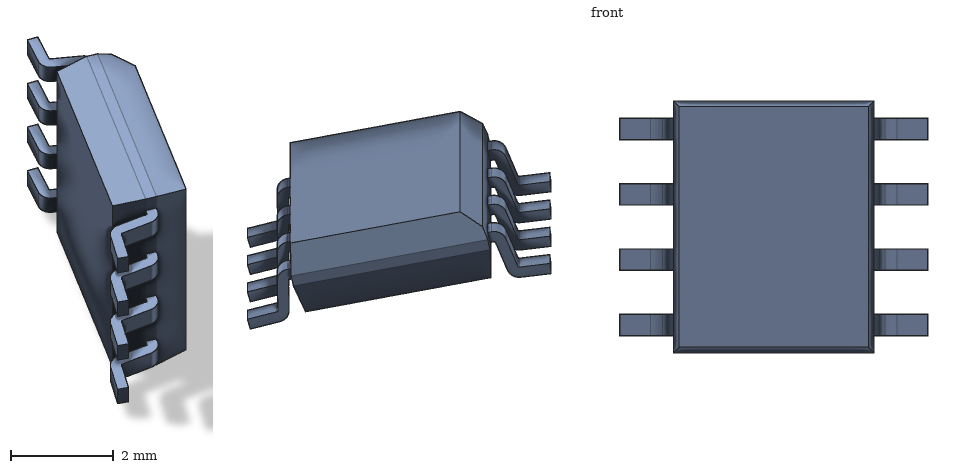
import cadquery as cq
import math


BODY_WIDTH = 3.9
BODY_LENGTH = 4.9
BODY_THICKNESS = 1.5
TOTAL_HEIGHT = 1.75
DRAFT_ANGLE = 10.0
PIN_ONE_CHAMFER = 0.37

LEAD_THICKNESS = 0.22
LEAD_WIDTH = 0.42
LEAD_PITCH = 1.27
LEADS_PER_SIDE = 4
LEAD_SPAN = 6.0
STUB_LENGTH = 0.075
OUTER_BEND = 0.25
INNER_BEND = OUTER_BEND - LEAD_THICKNESS
LEG_TILT = 10.0
FOOT_TILT = 4.0

BODY_BASE = TOTAL_HEIGHT - BODY_THICKNESS
BAND_CENTER = BODY_BASE + BODY_THICKNESS / 2
BAND_BOTTOM = BAND_CENTER - LEAD_THICKNESS / 2
BAND_TOP = BAND_CENTER + LEAD_THICKNESS / 2
DRAFT_DEPTH = (BODY_THICKNESS - LEAD_THICKNESS) / 2


def make_half(start_y, depth, draft):
    """Block from the plane Y = start_y, narrowing by the draft angle along its depth."""
    return (
        cq.Workplane("XZ", origin=(0, start_y, 0))
        .rect(BODY_WIDTH, BODY_LENGTH)
        .extrude(depth, taper=draft)
    )


def make_body():
    """Moulded body: straight middle band, two drafted halves and the pin-one bevel."""
    band = make_half(BAND_TOP, LEAD_THICKNESS, 0)
    lower_half = make_half(BAND_BOTTOM, DRAFT_DEPTH, DRAFT_ANGLE)
    upper_half = make_half(BAND_TOP, -DRAFT_DEPTH, DRAFT_ANGLE)

    bevel_y = TOTAL_HEIGHT - PIN_ONE_CHAMFER
    wall_inset = (bevel_y - BAND_TOP) * math.tan(math.radians(DRAFT_ANGLE))
    bevel_x = -BODY_WIDTH / 2 + wall_inset
    bevel = (
        cq.Workplane("XY")
        .moveTo(bevel_x - PIN_ONE_CHAMFER, bevel_y - PIN_ONE_CHAMFER)
        .lineTo(bevel_x + 2 * PIN_ONE_CHAMFER, TOTAL_HEIGHT + PIN_ONE_CHAMFER)
        .lineTo(bevel_x - PIN_ONE_CHAMFER, TOTAL_HEIGHT + PIN_ONE_CHAMFER)
        .close()
        .extrude(BODY_LENGTH / 2, both=True)
    )
    return band.union(lower_half).union(upper_half).cut(bevel)


def on_circle(center, radius, degrees):
    """Point on a circle, at an angle counted from +X toward +Y."""
    angle = math.radians(degrees)
    return (center[0] + radius * math.cos(angle), center[1] + radius * math.sin(angle))


def make_lead():
    """Gull-wing lead on the +X side, centred on Z = 0."""
    wall_x = BODY_WIDTH / 2
    toe_x = LEAD_SPAN / 2
    tilt = math.radians(FOOT_TILT)
    lean = math.radians(LEG_TILT)

    shoulder = (wall_x + STUB_LENGTH, BAND_TOP - OUTER_BEND)
    shoulder_end = LEG_TILT
    shoulder_mid = (90 + shoulder_end) / 2

    toe_corner = (toe_x - LEAD_THICKNESS * math.sin(tilt), 0)
    toe_top = (toe_x, LEAD_THICKNESS * math.cos(tilt))

    radii_sum = OUTER_BEND + INNER_BEND

    across = (radii_sum * math.cos(lean), radii_sum * math.sin(lean))
    along = (math.sin(lean), -math.cos(lean))
    sole_normal = (math.sin(tilt), math.cos(tilt))
    start = (shoulder[0] + across[0] - toe_corner[0], shoulder[1] + across[1])
    start_height = start[0] * sole_normal[0] + start[1] * sole_normal[1]
    drop_rate = along[0] * sole_normal[0] + along[1] * sole_normal[1]
    leg_length = (OUTER_BEND - start_height) / drop_rate
    heel = (
        shoulder[0] + across[0] + leg_length * along[0],
        shoulder[1] + across[1] + leg_length * along[1],
    )
    heel_start = 180 + LEG_TILT
    heel_end = 270 - FOOT_TILT
    heel_mid = (heel_start + heel_end) / 2

    return (
        cq.Workplane("XY", origin=(0, 0, -LEAD_WIDTH / 2))
        .moveTo(wall_x, BAND_TOP)
        .lineTo(*on_circle(shoulder, OUTER_BEND, 90))
        .threePointArc(
            on_circle(shoulder, OUTER_BEND, shoulder_mid),
            on_circle(shoulder, OUTER_BEND, shoulder_end),
        )
        .lineTo(*on_circle(heel, INNER_BEND, heel_start))
        .threePointArc(
            on_circle(heel, INNER_BEND, heel_mid),
            on_circle(heel, INNER_BEND, heel_end),
        )
        .lineTo(*toe_top)
        .lineTo(*toe_corner)
        .lineTo(*on_circle(heel, OUTER_BEND, heel_end))
        .threePointArc(
            on_circle(heel, OUTER_BEND, heel_mid),
            on_circle(heel, OUTER_BEND, heel_start),
        )
        .lineTo(*on_circle(shoulder, INNER_BEND, shoulder_end))
        .threePointArc(
            on_circle(shoulder, INNER_BEND, shoulder_mid),
            on_circle(shoulder, INNER_BEND, 90),
        )
        .lineTo(wall_x, BAND_BOTTOM)
        .close()
        .extrude(LEAD_WIDTH)
    )


def make_leads():
    """Two mirrored rows of leads, spaced evenly along Z."""
    right_lead = make_lead()
    left_lead = right_lead.mirror("YZ")
    leads = []
    for row_lead in (right_lead, left_lead):
        for index in range(LEADS_PER_SIDE):
            z = (index - (LEADS_PER_SIDE - 1) / 2) * LEAD_PITCH
            leads.append(row_lead.translate((0, 0, z)))
    return leads


body = make_body()
leads = make_leads()

result = cq.Compound.makeCompound([body.val(), *[lead.val() for lead in leads]])